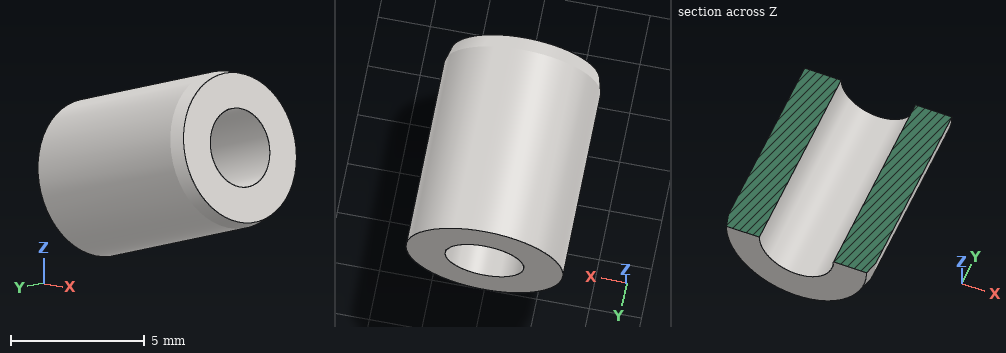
import cadquery as cq
import math

outer_diameter = 6.0
bore_diameter = 3.0
length = 8.0
lead_in_depth = 0.15
lead_in_angle = 15.0

outer_radius = outer_diameter / 2
bore_radius = bore_diameter / 2
lead_in_length = lead_in_depth / math.tan(math.radians(lead_in_angle))


def make_bushing():
    """Revolve the wall section about Y; the tapered lead-in is at the -Y end."""
    front_radius = outer_radius - lead_in_depth
    wall_section = (
        cq.Workplane("XY")
        .moveTo(bore_radius, 0)
        .lineTo(front_radius, 0)
        .lineTo(outer_radius, lead_in_length)
        .lineTo(outer_radius, length)
        .lineTo(bore_radius, length)
        .close()
    )
    return wall_section.revolve(360, (0, 0, 0), (0, 1, 0))


result = make_bushing()